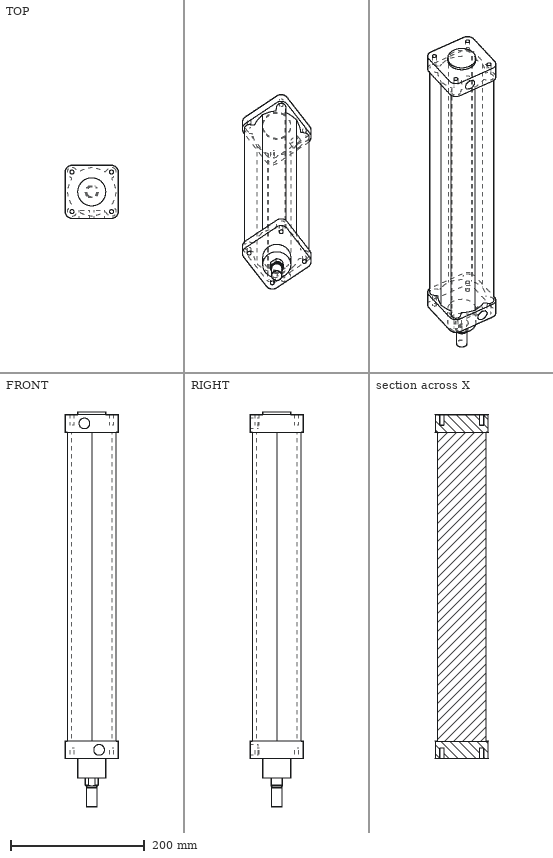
import cadquery as cq
import math

total_length = 591.0
rod_length = 43.0
front_boss_length = 29.0
cap_thickness = 26.5
rear_boss_height = 4.0

front_boss_start = rod_length
front_cap_start = front_boss_start + front_boss_length
barrel_start = front_cap_start + cap_thickness
rear_cap_end = total_length - rear_boss_height
rear_cap_start = rear_cap_end - cap_thickness
barrel_length = rear_cap_start - barrel_start

cap_width = 80.0
cap_corner_radius = 11.0
boss_diameter = 42.0
screw_spacing = 59.2
screw_hole_diameter = 6.0
screw_hole_depth = 16.0
port_offset = 11.0
port_diameter = 16.0
port_depth = 12.0

barrel_width = 73.2
column_radius = (barrel_width - screw_spacing) / 2
groove_radius = 1.4
roof_angle = 13.0

rod_diameter = 19.5
wrench_width = 17.0
shoulder_chamfer = 1.25
neck_diameter = 15.0
neck_length = 2.5
thread_diameter = 16.0
thread_length = 28.7
thread_tip_chamfer = 0.5
thread_root_chamfer = (thread_diameter - neck_diameter) / 2


def make_barrel():
    """Extruded tube: a round core, a ridge along each side and a round column at each corner."""
    core_radius = barrel_width / 2 * math.cos(math.radians(roof_angle))
    ridge_half_width = core_radius * math.sin(math.radians(roof_angle))
    ridge_foot = core_radius * math.cos(math.radians(roof_angle))
    column_reach = screw_spacing / math.sqrt(2)

    base = cq.Workplane("XY").workplane(offset=barrel_start)
    barrel = base.circle(core_radius).extrude(barrel_length)
    ridge = (
        base.moveTo(0, 0)
        .lineTo(ridge_foot, -ridge_half_width)
        .lineTo(barrel_width / 2, 0)
        .lineTo(ridge_foot, ridge_half_width)
        .close()
        .extrude(barrel_length)
    )
    column = (
        base.center(column_reach / 2, 0)
        .slot2D(column_reach + 2 * column_radius, 2 * column_radius)
        .extrude(barrel_length)
    )
    for side in range(4):
        barrel = barrel.union(ridge.rotate((0, 0, 0), (0, 0, 1), 90 * side))
        barrel = barrel.union(column.rotate((0, 0, 0), (0, 0, 1), 45 + 90 * side))

    valley_angle = math.degrees(math.asin(column_radius / core_radius))
    for side in range(4):
        for turn in (-valley_angle, valley_angle):
            angle = math.radians(45 + 90 * side + turn)
            valley_x = core_radius * math.cos(angle)
            valley_y = core_radius * math.sin(angle)
            valley_middle = (valley_x, valley_y, barrel_start + barrel_length / 2)
            valley_edge = cq.selectors.NearestToPointSelector(valley_middle)
            barrel = barrel.edges(valley_edge).fillet(groove_radius)
    return barrel


def make_cap(inner_face, outward, boss_length, port_x):
    """Square end cap with a round boss; `outward` is +1 or -1 along Z, away from the barrel."""
    outer_face = inner_face + outward * cap_thickness
    cap = (
        cq.Workplane("XY", origin=(0, 0, inner_face))
        .rect(cap_width, cap_width)
        .extrude(outward * cap_thickness)
        .edges("|Z")
        .fillet(cap_corner_radius)
    )
    port_z = inner_face + outward * cap_thickness / 2
    outer_plane = cq.Workplane("XY", origin=(0, 0, outer_face))
    boss = outer_plane.circle(boss_diameter / 2).extrude(outward * boss_length)
    screw_holes = (
        outer_plane.rect(screw_spacing, screw_spacing, forConstruction=True)
        .vertices()
        .circle(screw_hole_diameter / 2)
        .extrude(-outward * screw_hole_depth)
    )
    port = (
        cq.Workplane("XZ", origin=(port_x, -cap_width / 2, port_z))
        .circle(port_diameter / 2)
        .extrude(-port_depth)
    )
    return cap.union(boss).cut(screw_holes).cut(port)


def make_rod():
    """Rod end with a male thread, an undercut neck and two wrench flats facing -Y and +Y."""
    shoulder_z = thread_length + neck_length
    body_length = rod_length - shoulder_z
    body = (
        cq.Workplane("XY", origin=(0, 0, shoulder_z))
        .circle(rod_diameter / 2)
        .extrude(body_length)
        .faces("<Z")
        .chamfer(shoulder_chamfer)
    )
    for side in (-1, 1):
        cut_y = side * (wrench_width + rod_diameter) / 2
        flat_cut = cq.Workplane("XY", origin=(0, cut_y, shoulder_z)).box(
            rod_diameter, rod_diameter, body_length, centered=(True, True, False)
        )
        body = body.cut(flat_cut)
    thread = (
        cq.Workplane("XY")
        .circle(thread_diameter / 2)
        .extrude(thread_length)
        .faces("<Z")
        .chamfer(thread_tip_chamfer)
        .faces(">Z")
        .chamfer(thread_root_chamfer)
    )
    neck = cq.Workplane("XY", origin=(0, 0, thread_length)).circle(neck_diameter / 2).extrude(neck_length)
    return body.union(neck).union(thread)


rod = make_rod()
front_cap = make_cap(barrel_start, -1, front_boss_length, port_offset)
barrel = make_barrel()
rear_cap = make_cap(rear_cap_start, 1, rear_boss_height, -port_offset)

result = cq.Compound.makeCompound([rod.val(), front_cap.val(), barrel.val(), rear_cap.val()])